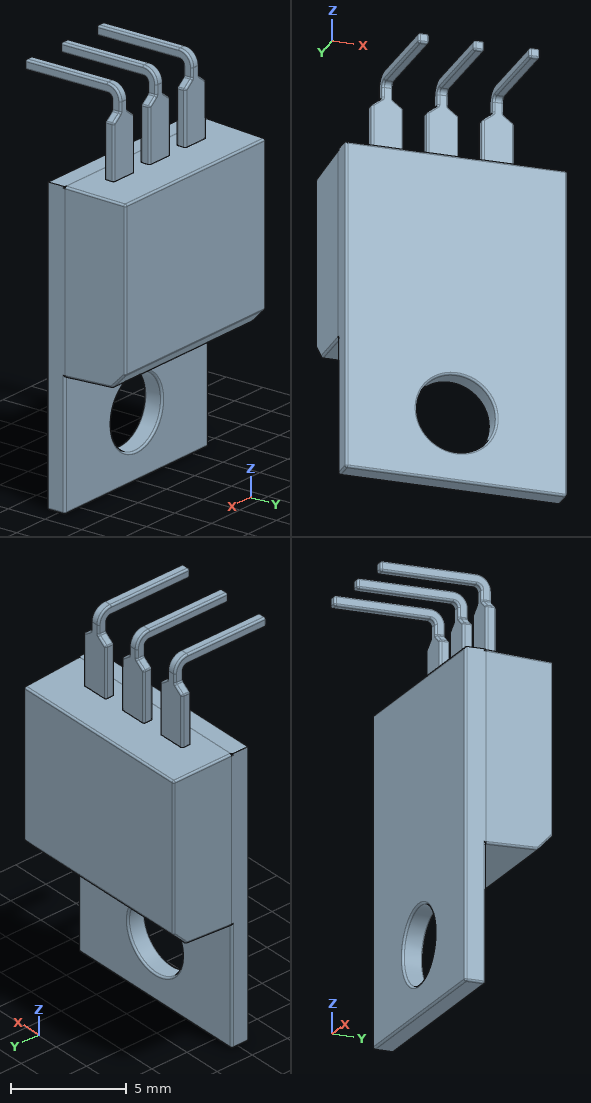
import cadquery as cq
import math

tab_width = 10.15
tab_height = 15.25
tab_thickness = 1.0
edge_radius = 0.1
hole_diameter = 3.6
hole_height = 3.2

body_depth = 3.22
body_bottom = 6.37
draft_angle = 2.0
body_chamfer = 0.72

lead_count = 3
lead_pitch = 2.53
lead_thickness = 0.5
blade_width = 1.48
total_height = 19.49
lead_reach = 2.98
lead_back = 2.26
outer_bend_radius = 0.75
blade_length = 2.65
shoulder_height = 0.37
lead_root_depth = 0.39


def make_tab():
    tab = cq.Workplane("XY").box(tab_width, tab_thickness, tab_height, centered=(True, False, False))
    tab = tab.edges("not (>Z and (|Y or >Y))").fillet(edge_radius)

    hole = cq.Workplane("XZ").center(0, hole_height).circle(hole_diameter / 2).extrude(-tab_thickness)
    return tab.cut(hole).faces("<Y or >Y").edges("%CIRCLE").fillet(edge_radius)


def make_body():
    body_height = tab_height - body_bottom
    body_middle = body_bottom + body_height / 2
    body = (
        cq.Workplane("XZ", origin=(0, tab_thickness, body_middle))
        .rect(tab_width, body_height)
        .extrude(-body_depth, taper=draft_angle)
    )
    body = body.faces(">Y").edges("<Z").chamfer(body_chamfer)
    body = body.edges("not <Y").fillet(edge_radius)

    root = (
        cq.Workplane("XZ", origin=(0, tab_thickness, body_middle))
        .rect(tab_width, body_height)
        .extrude(tab_thickness / 2)
        .edges("|Y")
        .fillet(edge_radius)
    )
    return body.union(root)


def make_lead():
    inner_bend_radius = outer_bend_radius - lead_thickness
    lead_front = lead_back - lead_thickness
    root = tab_height - lead_root_depth
    bend_y = lead_back - outer_bend_radius
    bend_z = total_height - outer_bend_radius
    diagonal = math.sqrt(0.5)
    strip = (
        cq.Workplane("YZ")
        .moveTo(lead_back, root)
        .lineTo(lead_back, bend_z)
        .threePointArc(
            (bend_y + outer_bend_radius * diagonal, bend_z + outer_bend_radius * diagonal),
            (bend_y, total_height),
        )
        .lineTo(-lead_reach, total_height)
        .lineTo(-lead_reach, total_height - lead_thickness)
        .lineTo(bend_y, total_height - lead_thickness)
        .threePointArc(
            (bend_y + inner_bend_radius * diagonal, bend_z + inner_bend_radius * diagonal),
            (lead_front, bend_z),
        )
        .lineTo(lead_front, root)
        .close()
        .extrude(blade_width / 2, both=True)
    )

    half_blade = blade_width / 2
    half_neck = lead_thickness / 2
    shoulder = tab_height + blade_length
    neck_start = shoulder + shoulder_height
    outline = (
        cq.Workplane("XZ", origin=(0, lead_back, 0))
        .moveTo(-half_blade, root)
        .lineTo(-half_blade, shoulder)
        .lineTo(-half_neck, neck_start)
        .lineTo(-half_neck, total_height)
        .lineTo(half_neck, total_height)
        .lineTo(half_neck, neck_start)
        .lineTo(half_blade, shoulder)
        .lineTo(half_blade, root)
        .close()
        .extrude(lead_back + lead_reach)
    )
    lead = strip.intersect(outline)
    return lead.edges("not <Z").fillet(edge_radius)


lead = make_lead()
result = make_tab().union(make_body())
for index in range(lead_count):
    offset = (index - (lead_count - 1) / 2) * lead_pitch
    result = result.union(lead.translate((offset, 0, 0)))